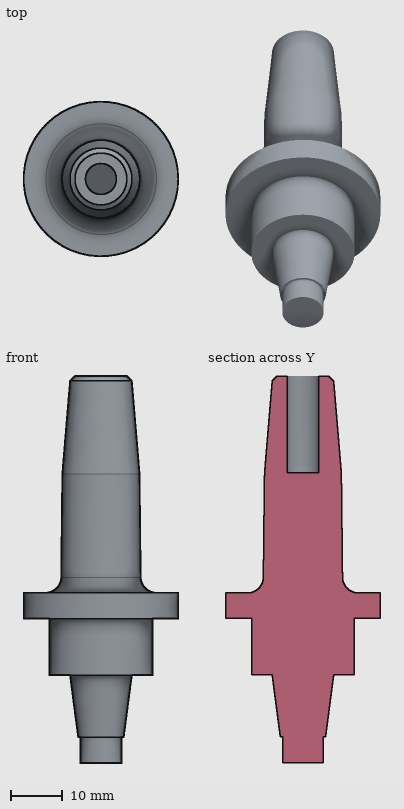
import cadquery as cq
import math

flange_radius = 15.0
body_radius = 20.0 / 2
tip_radius = 8.0 / 2
lower_cone_small_radius = 4.4
lower_cone_large_radius = 6.0
shank_base_radius = 7.7
shank_top_radius = 7.5
nose_radius = 6.0
bore_radius = 3.0
root_fillet = 3.0
nose_chamfer = 1.0

tip_top = 5.0
body_bottom = 17.0
flange_bottom = 28.0
flange_top = 33.0
shank_base = flange_top + root_fillet
shank_top = 56.0
total_height = 75.0
bore_depth = 18.75

fillet_outer_radius = shank_base_radius + root_fillet
fillet_mid_offset = root_fillet * math.sqrt(0.5)
fillet_mid = (fillet_outer_radius - fillet_mid_offset, shank_base - fillet_mid_offset)

half_section = (
    cq.Workplane("XZ")
    .moveTo(0, 0)
    .lineTo(tip_radius, 0)
    .lineTo(tip_radius, tip_top)
    .lineTo(lower_cone_small_radius, tip_top)
    .lineTo(lower_cone_large_radius, body_bottom)
    .lineTo(body_radius, body_bottom)
    .lineTo(body_radius, flange_bottom)
    .lineTo(flange_radius, flange_bottom)
    .lineTo(flange_radius, flange_top)
    .lineTo(fillet_outer_radius, flange_top)
    .threePointArc(fillet_mid, (shank_base_radius, shank_base))
    .lineTo(shank_top_radius, shank_top)
    .lineTo(nose_radius, total_height - nose_chamfer)
    .lineTo(nose_radius - nose_chamfer, total_height)
    .lineTo(0, total_height)
    .close()
)
turned_body = half_section.revolve(360, (0, 0, 0), (0, 1, 0))

bore = (
    cq.Workplane("XY")
    .workplane(offset=total_height - bore_depth)
    .circle(bore_radius)
    .extrude(bore_depth)
)

result = turned_body.cut(bore)